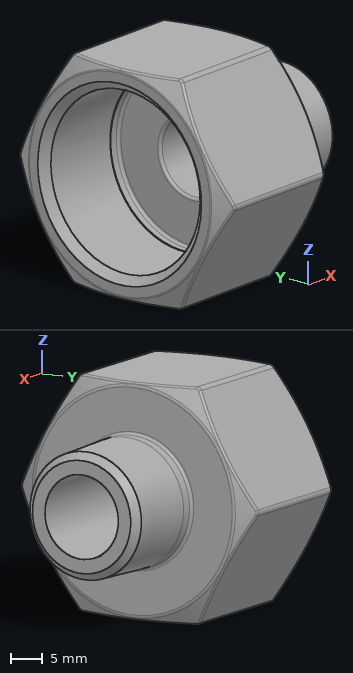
import cadquery as cq
import math

across_flats = 38.0
across_corners = 43.55
hex_length = 26.0
end_cone_diameter = 36.95
end_cone_angle = 30.0
socket_face_round = 0.5
spigot_face_round = 1.0
flat_edge_round = 0.5

total_length = 41.5
spigot_diameter = 21.25
taper_start = 28.28
taper_on_radius = 1 / 32
spigot_chamfer = 1.2
spigot_root_round = 0.5

socket_depth = 18.25
socket_diameter = 30.3
socket_mouth_diameter = 33.2
socket_mouth_depth = (socket_mouth_diameter - socket_diameter) / 2
relief_diameter = 30.5
relief_length = 2.0
relief_round = 0.5
hole_diameter = 13.5
hole_edge_round = 0.5


def revolve_about_x(profile):
    return profile.close().revolve(360, (0, 0, 0), (1, 0, 0))


def hexagon_body():
    sharp_corners = across_flats / math.cos(math.pi / 6)
    corner_round = (sharp_corners - across_corners) / 2 / (1 / math.cos(math.pi / 6) - 1)
    prism = cq.Workplane("YZ").polygon(6, sharp_corners).extrude(hex_length)
    prism = prism.edges("|X").fillet(corner_round)

    face_radius = end_cone_diameter / 2
    cone_outer_radius = sharp_corners / 2 + 0.45
    cone_length = (cone_outer_radius - face_radius) * math.tan(math.radians(end_cone_angle))
    turned = revolve_about_x(
        cq.Workplane("XZ")
        .lineTo(0, face_radius)
        .lineTo(cone_length, cone_outer_radius)
        .lineTo(hex_length - cone_length, cone_outer_radius)
        .lineTo(hex_length, face_radius)
        .lineTo(hex_length, 0)
    )
    turned = turned.faces("<X").edges().fillet(socket_face_round)
    turned = turned.faces(">X").edges().fillet(spigot_face_round)
    body = prism.intersect(turned)
    return body.faces("#X").faces("<Z or >Z").edges("not |X").fillet(flat_edge_round)


def spigot():
    radius = spigot_diameter / 2
    tip_radius = radius - (total_length - spigot_chamfer - taper_start) * taper_on_radius
    return revolve_about_x(
        cq.Workplane("XZ")
        .moveTo(socket_depth, 0)
        .lineTo(socket_depth, radius + spigot_root_round)
        .lineTo(hex_length, radius + spigot_root_round)
        .radiusArc((hex_length + spigot_root_round, radius), -spigot_root_round)
        .lineTo(taper_start, radius)
        .lineTo(total_length - spigot_chamfer, tip_radius)
        .lineTo(total_length, tip_radius - spigot_chamfer)
        .lineTo(total_length, 0)
    )


def cavity():
    socket_radius = socket_diameter / 2
    relief_radius = relief_diameter / 2
    relief_start = socket_depth - relief_length
    hole_radius = hole_diameter / 2
    return revolve_about_x(
        cq.Workplane("XZ")
        .lineTo(0, socket_mouth_diameter / 2)
        .lineTo(socket_mouth_depth, socket_radius)
        .lineTo(relief_start, socket_radius)
        .lineTo(relief_start, relief_radius)
        .lineTo(socket_depth - relief_round, relief_radius)
        .radiusArc((socket_depth, relief_radius - relief_round), relief_round)
        .lineTo(socket_depth, hole_radius + hole_edge_round)
        .radiusArc((socket_depth + hole_edge_round, hole_radius), -hole_edge_round)
        .lineTo(total_length, hole_radius)
        .lineTo(total_length, 0)
    )


result = hexagon_body().union(spigot()).cut(cavity())